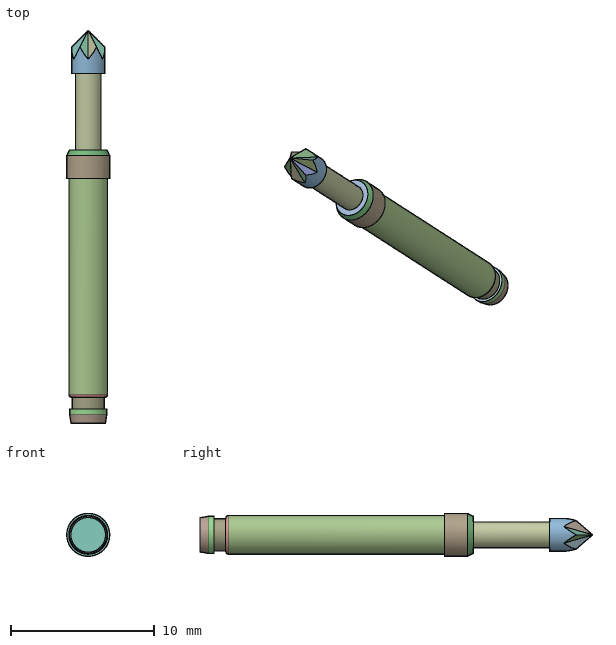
import cadquery as cq
import math


head_dia = 2.3
shaft_dia = 1.8
collar_dia = 3.0
collar_front_dia = 2.6
barrel_dia = 2.7
neck_dia = 2.25
tail_dia = 2.6
tail_end_dia = 2.4

overall_length = 27.3
head_length = 3.0
shaft_length = 5.3
collar_length = 2.0
collar_chamfer_length = 0.4
barrel_length = 15.2
barrel_end_radius = 0.2
neck_length = 0.8
tail_taper_length = 0.6

groove_count = 6
edge_angle = math.radians(45)
valley_angle = math.radians(30)

collar_back_y = 0
collar_front_y = collar_back_y + collar_length
head_back_y = collar_front_y + shaft_length
tip_y = head_back_y + head_length
tail_end_y = tip_y - overall_length
barrel_end_y = collar_back_y - barrel_length
neck_end_y = barrel_end_y - neck_length


def turned_body():
    """Revolve the half profile about the Y axis, with the head still a plain cylinder."""
    head_r = head_dia / 2
    shaft_r = shaft_dia / 2
    collar_r = collar_dia / 2
    barrel_r = barrel_dia / 2
    neck_r = neck_dia / 2
    tail_r = tail_dia / 2
    arc_offset = barrel_end_radius * (1 - math.sqrt(0.5))
    profile = (
        cq.Workplane("XY")
        .moveTo(0, tip_y)
        .lineTo(head_r, tip_y)
        .lineTo(head_r, head_back_y)
        .lineTo(shaft_r, head_back_y)
        .lineTo(shaft_r, collar_front_y)
        .lineTo(collar_front_dia / 2, collar_front_y)
        .lineTo(collar_r, collar_front_y - collar_chamfer_length)
        .lineTo(collar_r, collar_back_y)
        .lineTo(barrel_r, collar_back_y)
        .lineTo(barrel_r, barrel_end_y + barrel_end_radius)
        .threePointArc(
            (barrel_r - arc_offset, barrel_end_y + arc_offset),
            (barrel_r - barrel_end_radius, barrel_end_y),
        )
        .lineTo(neck_r, barrel_end_y)
        .lineTo(neck_r, neck_end_y)
        .lineTo(tail_r, neck_end_y)
        .lineTo(tail_r, tail_end_y + tail_taper_length)
        .lineTo(tail_end_dia / 2, tail_end_y)
        .lineTo(0, tail_end_y)
        .close()
    )
    return profile.revolve(360, (0, 0, 0), (0, 1, 0))


def tip_groove():
    """V-shaped cutter whose valley leaves the tip point and slopes outwards on the +Z side."""
    half_pitch = math.pi / groove_count
    edge_across = math.sin(edge_angle) * math.sin(half_pitch)
    edge_radial = math.sin(edge_angle) * math.cos(half_pitch)
    edge_above = edge_radial * math.cos(valley_angle) - math.cos(edge_angle) * math.sin(valley_angle)

    cutter_height = head_dia
    cutter_half_width = cutter_height * edge_across / edge_above
    valley_direction = cq.Vector(0, -math.cos(valley_angle), math.sin(valley_angle))
    section_plane = cq.Plane(origin=(0, tip_y, 0), xDir=(1, 0, 0), normal=valley_direction)
    return (
        cq.Workplane(section_plane)
        .polyline([
            (0, 0),
            (cutter_half_width, cutter_height),
            (-cutter_half_width, cutter_height),
        ])
        .close()
        .extrude(head_length)
    )


result = turned_body()
groove = tip_groove()
for index in range(groove_count):
    groove_angle = index * 360 / groove_count
    result = result.cut(groove.rotate((0, 0, 0), (0, 1, 0), groove_angle))